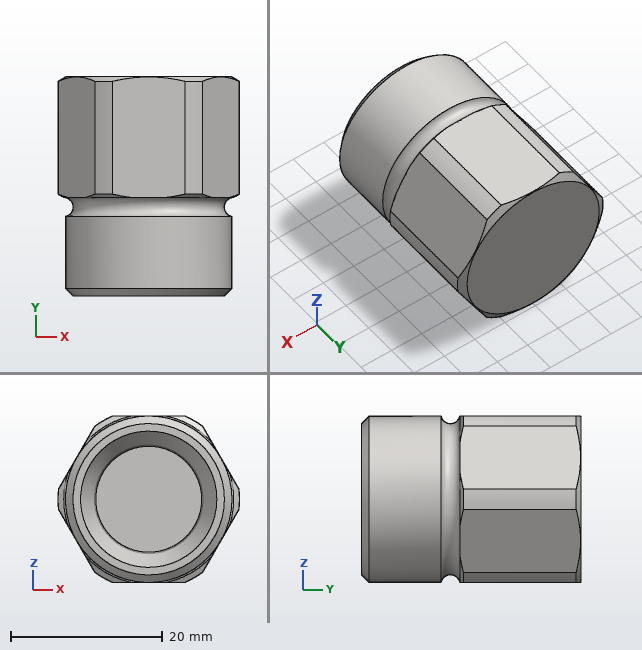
import cadquery as cq
import math

total_length = 29.0
spigot_radius = 11.0
spigot_chamfer = 1.0

hex_start = 12.83
hex_across_flats = 22.0
hex_corner_radius = 12.0
hex_chamfer_angle = math.radians(30)
hex_chamfer_end_radius = 10.9

groove_depth = 1.0
groove_radius = 1.27
groove_center_y = 11.75
groove_center_radius = spigot_radius - groove_depth + groove_radius

mouth_radius = 9.0
cone_half_angle = math.radians(30)
floor_radius = 7.0
throat_blend_radius = 1.25


def revolve_about_y(profile):
    """Turn a closed (radius, Y) profile fully about the Y axis."""
    return profile.close().revolve(360, (0, 0, 0), (0, 1, 0))


def make_spigot():
    return revolve_about_y(
        cq.Workplane("XY")
        .moveTo(0, 0)
        .lineTo(spigot_radius - spigot_chamfer, 0)
        .lineTo(spigot_radius, spigot_chamfer)
        .lineTo(spigot_radius, hex_start)
        .lineTo(0, hex_start)
    )


def make_hexagon():
    chamfer_length = (hex_corner_radius - hex_chamfer_end_radius) * math.tan(hex_chamfer_angle)
    hex_length = total_length - hex_start
    hex_across_corners = hex_across_flats / math.cos(math.radians(30))
    prism = (
        cq.Workplane("XZ", origin=(0, total_length, 0))
        .polygon(6, hex_across_corners)
        .extrude(hex_length)
    )
    turned_envelope = revolve_about_y(
        cq.Workplane("XY")
        .moveTo(0, hex_start)
        .lineTo(hex_chamfer_end_radius, hex_start)
        .lineTo(hex_corner_radius, hex_start + chamfer_length)
        .lineTo(hex_corner_radius, total_length - chamfer_length)
        .lineTo(hex_chamfer_end_radius, total_length)
        .lineTo(0, total_length)
    )
    return prism.intersect(turned_envelope)


def make_groove():
    center = cq.Vector(0, groove_center_y, 0)
    ring = cq.Solid.makeTorus(groove_center_radius, groove_radius, center, cq.Vector(0, 1, 0))
    return cq.Workplane(ring)


def make_mouth():
    blend_start_radius = floor_radius + throat_blend_radius * (1 - math.cos(cone_half_angle))
    blend_mid_radius = floor_radius + throat_blend_radius * (1 - math.cos(cone_half_angle / 2))
    cone_depth = (mouth_radius - blend_start_radius) / math.tan(cone_half_angle)
    floor_depth = cone_depth + throat_blend_radius * math.sin(cone_half_angle)
    blend_mid_depth = floor_depth - throat_blend_radius * math.sin(cone_half_angle / 2)
    return revolve_about_y(
        cq.Workplane("XY")
        .moveTo(0, 0)
        .lineTo(mouth_radius, 0)
        .lineTo(blend_start_radius, cone_depth)
        .threePointArc((blend_mid_radius, blend_mid_depth), (floor_radius, floor_depth))
        .lineTo(0, floor_depth)
    )


result = make_spigot().union(make_hexagon()).cut(make_groove()).cut(make_mouth())